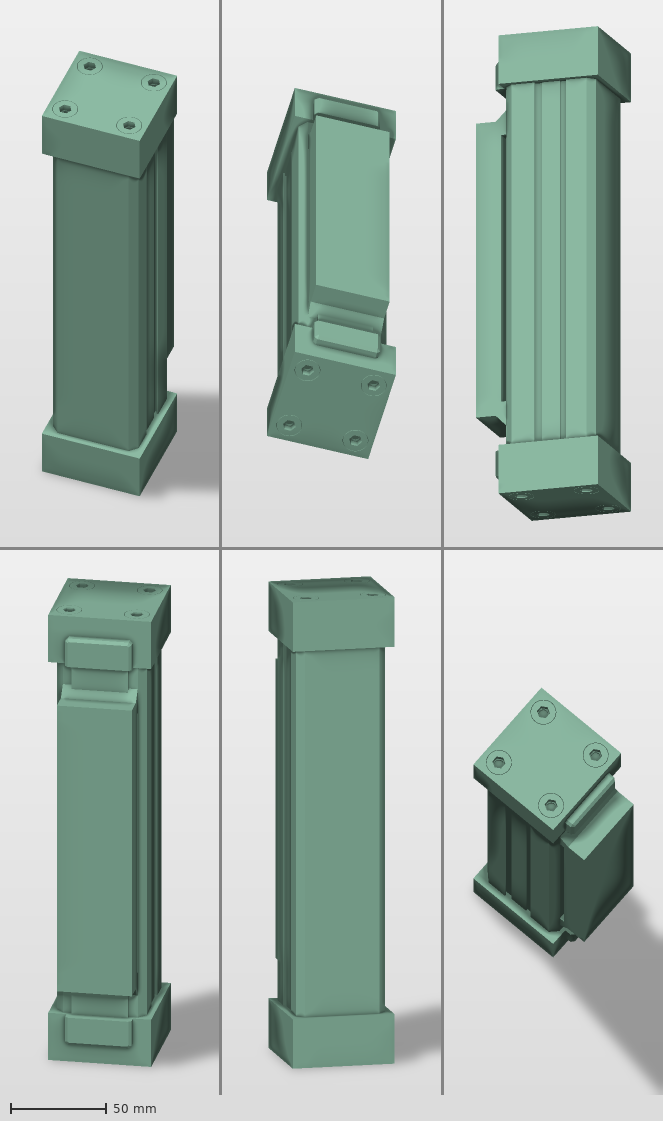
import cadquery as cq
import math

total_length = 250.0

cap_side = 55.0
cap_length = 26.5
tube_length = total_length - 2 * cap_length

tube_half_width = 24.0
tube_bottom_y = -24.0
tube_top_y = 25.5
tube_chamfer = 4.0

rail_width = 30.0
rail_top_y = cap_side / 2

slot_half_width = 8.8
strip_half_width = 5.0
strip_recess = 1.0
groove_depth = 2.2
lip_thickness = 1.0
lip_overhang = 1.5

clamp_width = 35.5
clamp_length = 15.5
clamp_height = 5.2
clamp_chamfer = 1.5

screw_offset = 18.0
counterbore_diameter = 13.5
head_diameter = 13.0
head_length = 5.0
socket_across_flats = 6.0
socket_depth = 3.8
socket_drill_diameter = 5.0
socket_drill_depth = 5.0

carriage_width = 40.0
carriage_top_y = 42.5
carriage_underside_y = 28.5
carriage_half_length = 80.2
end_block_length = 7.5
end_block_underside_y = 25.8
end_toe = 5.8


def box_between(x_min, x_max, y_min, y_max, z_min, z_max):
    """Box given by its limits on the three axes."""
    size = (x_max - x_min, y_max - y_min, z_max - z_min)
    return cq.Workplane("XY").box(*size, centered=False).translate((x_min, y_min, z_min))


def centred_bar(width, y_min, y_max, length):
    """Bar centred on X = 0 and on the middle of the cylinder."""
    return box_between(-width / 2, width / 2, y_min, y_max, -length / 2, length / 2)


def make_tube():
    tube = centred_bar(2 * tube_half_width, tube_bottom_y, tube_top_y, tube_length)
    tube = tube.edges("|Z").chamfer(tube_chamfer)
    rail = centred_bar(rail_width, 0, rail_top_y, tube_length)
    return tube.union(rail)


def make_side_slot():
    """Cutter for the undercut slot on the -X side of the tube."""
    outer_x = -tube_half_width
    half = tube_length / 2
    floor_x = outer_x + groove_depth
    mouth = box_between(outer_x, floor_x, -slot_half_width, slot_half_width, -half, half)
    cavity_half_width = slot_half_width + lip_overhang
    cavity = box_between(
        outer_x + lip_thickness, floor_x, -cavity_half_width, cavity_half_width, -half, half
    )
    strip = box_between(
        outer_x + strip_recess, floor_x, -strip_half_width, strip_half_width, -half, half
    )
    return mouth.union(cavity).cut(strip)


def make_screw_recess():
    """Cutter for the gap round one screw head and for its drilled socket, opening at Z = 0."""
    gap = (
        cq.Workplane("XY")
        .circle(counterbore_diameter / 2)
        .circle(head_diameter / 2)
        .extrude(-head_length)
    )
    across_corners = socket_across_flats / math.cos(math.pi / 6)
    socket = cq.Workplane("XY").polygon(6, across_corners).extrude(-socket_depth)
    drill = cq.Workplane("XY").circle(socket_drill_diameter / 2).extrude(-socket_drill_depth)
    return gap.union(socket).union(drill)


def make_clamp():
    """Band clamp standing on the +Y face of the upper cap, bevelled on its free edges."""
    z_min = tube_length / 2
    clamp = box_between(
        -clamp_width / 2, clamp_width / 2,
        cap_side / 2, cap_side / 2 + clamp_height,
        z_min, z_min + clamp_length,
    )
    clamp = clamp.edges("|Y and >Z").chamfer(clamp_chamfer)
    return clamp.faces(">Y").edges("not <Z").chamfer(clamp_chamfer)


def make_upper_end():
    """Upper end cap with its band clamp and four screws."""
    cap = centred_bar(cap_side, -cap_side / 2, cap_side / 2, cap_length)
    cap = cap.translate((0, 0, (total_length - cap_length) / 2))
    cap = cap.union(make_clamp())
    recess = make_screw_recess()
    for x in (-screw_offset, screw_offset):
        for y in (-screw_offset, screw_offset):
            cap = cap.cut(recess.translate((x, y, total_length / 2)))
    return cap


def make_housing():
    slot = make_side_slot()
    upper_end = make_upper_end()
    housing = make_tube().cut(slot).cut(slot.mirror("YZ"))
    return housing.union(upper_end).union(upper_end.mirror("XY"))


def make_upper_end_block():
    """End block of the carriage, reaching down close to the tube with a 45 degree toe."""
    z_inner = carriage_half_length - end_block_length
    profile = [
        (carriage_top_y, z_inner),
        (carriage_top_y, carriage_half_length),
        (end_block_underside_y + end_toe, carriage_half_length),
        (end_block_underside_y, carriage_half_length + end_toe),
        (end_block_underside_y, z_inner),
    ]
    return cq.Workplane("YZ").polyline(profile).close().extrude(carriage_width / 2, both=True)


def make_carriage():
    plate = centred_bar(
        carriage_width, carriage_underside_y, carriage_top_y, 2 * carriage_half_length
    )
    end_block = make_upper_end_block()
    carriage = plate.union(end_block).union(end_block.mirror("XY"))
    rail_notch = centred_bar(rail_width, end_block_underside_y, rail_top_y, tube_length)
    return carriage.cut(rail_notch)


housing = make_housing()
carriage = make_carriage()

result = cq.Compound.makeCompound([housing.val(), carriage.val()])